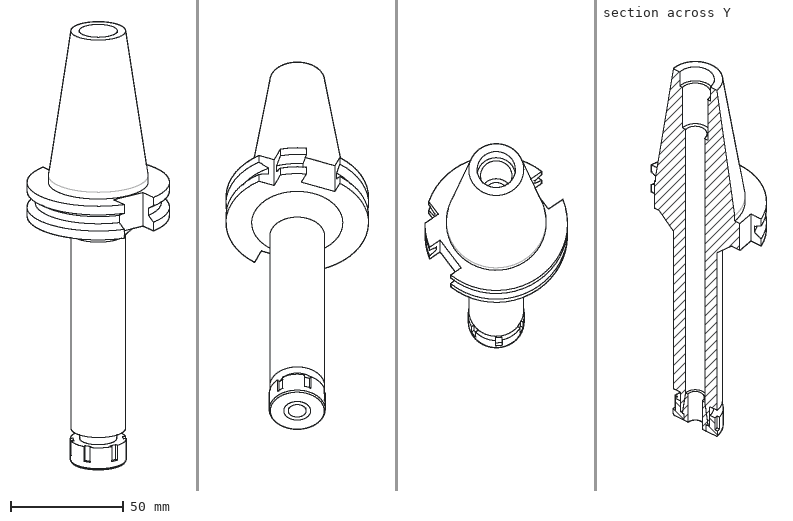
import cadquery as cq
import math


gauge_radius = 44.45 / 2
overall_length = 203.4
taper_length = 68.4
taper_per_length = 7 / 24
taper_top_radius = gauge_radius - taper_length * taper_per_length / 2

flange_radius = 63.55 / 2
flange_top_z = -3.2
flange_bottom_z = -19.1
flange_thickness = flange_top_z - flange_bottom_z
groove_z = -11.1
groove_floor_radius = 56.25 / 2
groove_floor_width = 3.4
groove_side_angle = math.radians(30)
groove_floor_half = groove_floor_width / 2
groove_mouth_half = groove_floor_half + (flange_radius - groove_floor_radius) * math.tan(groove_side_angle)

drive_slot_width = 16.1
left_slot_floor = 25.0
right_slot_floor = 22.8
notch_offset = 18.5

body_radius = 24.4 / 2
body_top_z = -27.2
cone_base_radius = body_radius + (flange_bottom_z - body_top_z)
body_bottom_z = -119.6
neck_radius = 16.5 / 2

nut_radius = 12.5
nut_top_z = -124.4
nut_bottom_z = taper_length - overall_length
nut_chamfer_height = 0.8
nut_chamfer_width = 0.5
wrench_slot_count = 6
wrench_slot_width = 3.0
wrench_slot_length = 7.0
wrench_slot_depth = 1.4
nut_lip_thickness = 4.0
neck_bottom_z = nut_bottom_z + nut_lip_thickness

pilot_bore_radius = 17 / 2
pilot_bore_depth = 8.2
thread_bore_radius = 14 / 2
thread_bore_depth = 32.0
through_bore_radius = 10.4 / 2

collet_bore_radius = 8 / 2
collet_front_radius = 7.0
collet_nose_radius = 6.0
collet_half_angle = math.radians(8)
collet_cone_length = (collet_front_radius - through_bore_radius) / math.tan(collet_half_angle)
collet_top_z = neck_bottom_z + collet_cone_length


def revolve_profile(points):
    """Solid of revolution about Z from a closed outline of (radius, z) points."""
    return cq.Workplane("XZ").polyline(points).close().revolve(360, (0, 0, 0), (0, 1, 0))


def flange_cutter(x_min, x_max, y_min, y_max):
    """Block as thick as the flange, for cutting right through it."""
    return (
        cq.Workplane("XY", origin=(0, 0, flange_bottom_z))
        .moveTo((x_min + x_max) / 2, (y_min + y_max) / 2)
        .rect(x_max - x_min, y_max - y_min)
        .extrude(flange_thickness)
    )


def make_holder():
    """Taper shank, grooved flange, long body and neck, bored from end to end."""
    pilot_floor_z = taper_length - pilot_bore_depth
    thread_floor_z = taper_length - thread_bore_depth
    holder = revolve_profile([
        (taper_top_radius, taper_length),
        (gauge_radius, 0),
        (gauge_radius, flange_top_z),
        (flange_radius, flange_top_z),
        (flange_radius, groove_z + groove_mouth_half),
        (groove_floor_radius, groove_z + groove_floor_half),
        (groove_floor_radius, groove_z - groove_floor_half),
        (flange_radius, groove_z - groove_mouth_half),
        (flange_radius, flange_bottom_z),
        (cone_base_radius, flange_bottom_z),
        (body_radius, body_top_z),
        (body_radius, body_bottom_z),
        (neck_radius, body_bottom_z),
        (neck_radius, neck_bottom_z),
        (collet_front_radius, neck_bottom_z),
        (through_bore_radius, collet_top_z),
        (through_bore_radius, thread_floor_z),
        (thread_bore_radius, thread_floor_z),
        (thread_bore_radius, pilot_floor_z),
        (pilot_bore_radius, pilot_floor_z),
        (pilot_bore_radius, taper_length),
    ])
    half_slot = drive_slot_width / 2
    left_slot = flange_cutter(-flange_radius, -left_slot_floor, -half_slot, half_slot)
    right_slot = flange_cutter(right_slot_floor, flange_radius, -half_slot, half_slot)
    notch = flange_cutter(-flange_radius, -notch_offset, notch_offset, flange_radius)
    return holder.cut(left_slot).cut(right_slot).cut(notch)


def make_nut():
    """Ring around the neck with a lip around the collet nose and six wrench slots."""
    nut = revolve_profile([
        (neck_radius, nut_top_z),
        (nut_radius, nut_top_z),
        (nut_radius, nut_bottom_z + nut_chamfer_height),
        (nut_radius - nut_chamfer_width, nut_bottom_z),
        (collet_nose_radius, nut_bottom_z),
        (collet_nose_radius, neck_bottom_z),
        (neck_radius, neck_bottom_z),
    ])
    slot_floor_radius = nut_radius - wrench_slot_depth
    slot_cutter = cq.Workplane("XY").box(
        2 * wrench_slot_depth, wrench_slot_width, wrench_slot_length, centered=(False, True, False)
    ).translate((slot_floor_radius, 0, nut_top_z - wrench_slot_length))
    for index in range(wrench_slot_count):
        angle = index * 360 / wrench_slot_count
        nut = nut.cut(slot_cutter.rotate((0, 0, 0), (0, 0, 1), angle))
    return nut


def make_collet():
    """Tapered sleeve in the holder's seat, with a nose flush with the nut face."""
    return revolve_profile([
        (collet_bore_radius, collet_top_z),
        (through_bore_radius, collet_top_z),
        (collet_front_radius, neck_bottom_z),
        (collet_nose_radius, neck_bottom_z),
        (collet_nose_radius, nut_bottom_z),
        (collet_bore_radius, nut_bottom_z),
    ])


holder = make_holder()
nut = make_nut()
collet = make_collet()

result = cq.Compound.makeCompound([holder.val(), nut.val(), collet.val()])